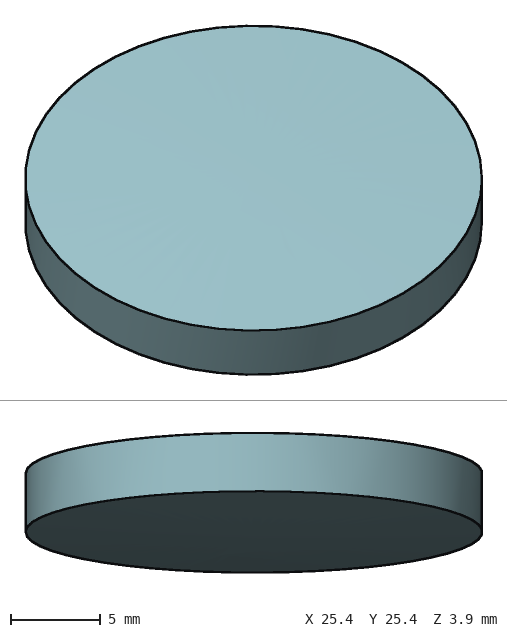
import cadquery as cq
import math

diameter = 25.4
centre_thickness = 3.9
edge_thickness = 3.3

radius = diameter / 2
half_centre = centre_thickness / 2
half_edge = edge_thickness / 2
dome_height = half_centre - half_edge
dome_radius = (radius**2 + dome_height**2) / (2 * dome_height)

arc_x = radius / 2
arc_z = half_centre - dome_radius + math.sqrt(dome_radius**2 - arc_x**2)

half_section = (
    cq.Workplane("XZ")
    .moveTo(0, -half_centre)
    .threePointArc((arc_x, -arc_z), (radius, -half_edge))
    .lineTo(radius, half_edge)
    .threePointArc((arc_x, arc_z), (0, half_centre))
    .close()
)
result = half_section.revolve(360, (0, 0, 0), (0, 1, 0))